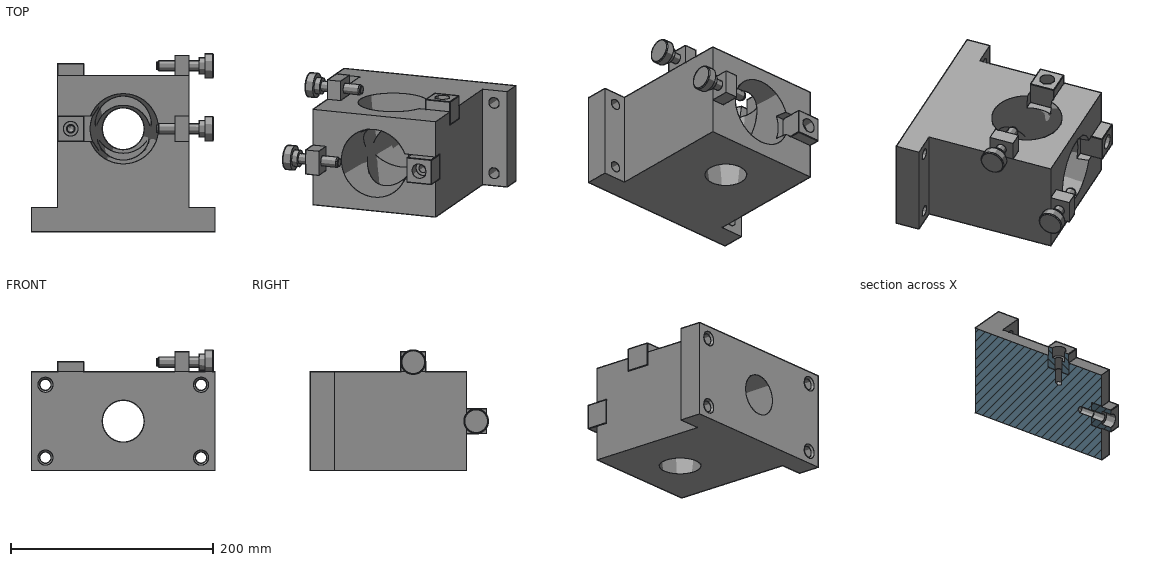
import cadquery as cq

flange_length = 182.0
flange_thickness = 24.4
housing_height = 98.0
body_width = 130.1
front_distance = 102.1
back_distance = 52.8
housing_depth = front_distance + back_distance
half_height = housing_height / 2

bore_wide_radius = 34.8
bore_narrow_radius = 20.5
bore_taper_length = housing_height

mount_hole_radius = 5.5
mount_sink_radius = 7.5
mount_sink_depth = 2.0
mount_spacing_x = 154.0
mount_spacing_z = 72.0

block_length = 26.2
block_width = 25.5
block_height = 23.8
block_chamfer = 0.5
block_center_x = (block_length - body_width) / 2
top_slot_depth = 13.6
back_slot_depth = 12.0
block_bore_radius = 7.3
block_bore_depth = 11.0
block_hole_radius = 4.2
tapped_hole_radius = 3.5
tapped_hole_depth = 14.5
drill_point_height = 1.8

bracket_thickness = 14.0
bracket_width = 24.8
bracket_height = 19.8
screw_height = 9.5

screw_tip_x = 33.1
screw_tip_radius = 3.8
screw_tip_length = 1.1
screw_tip_taper = 1.1
screw_radius = 5.1
collar_radius = 8.2
collar_length = 5.6
head_radius = 12.2
head_length = 8.5
head_chamfer = 1.0
screw_end_x = 89.2

top_face = cq.Plane(origin=(0, 0, half_height), xDir=(1, 0, 0), normal=(0, 0, 1))
back_face = cq.Plane(origin=(0, back_distance, 0), xDir=(1, 0, 0), normal=(0, 1, 0))
stations = [(top_face, top_slot_depth), (back_face, back_slot_depth)]


def make_bore(face, length):
    """Tapered bore from a face inward, carried on straight to the given length."""
    taper_outline = [
        (0, 0),
        (bore_wide_radius, 0),
        (bore_narrow_radius, -bore_taper_length),
        (0, -bore_taper_length),
    ]
    taper = cq.Workplane("XZ").polyline(taper_outline).close().revolve(360, (0, 0), (0, 1))
    straight = cq.Workplane("XY").circle(bore_narrow_radius).extrude(-length)
    return taper.union(straight).val().moved(face.location)


def make_slot(face, depth):
    """Slot as wide as a stop block, from the -X side into the bore."""
    length = body_width / 2
    slot = cq.Workplane("XY").box(length, block_width, depth, centered=(False, True, False))
    return slot.translate((-length, 0, -depth)).val().moved(face.location)


def make_tapped_hole(face, depth):
    """Blind hole with a drill point under a stop block."""
    outline = [
        (0, 0),
        (tapped_hole_radius, 0),
        (tapped_hole_radius, -tapped_hole_depth),
        (0, -tapped_hole_depth - drill_point_height),
    ]
    hole = cq.Workplane("XZ").polyline(outline).close().revolve(360, (0, 0), (0, 1))
    return hole.translate((block_center_x, 0, -depth)).val().moved(face.location)


def make_mount_hole_cutter():
    """Countersunk through hole along +Y, starting at the flange face."""
    outline = [
        (0, 0),
        (mount_sink_radius, 0),
        (mount_hole_radius, mount_sink_depth),
        (mount_hole_radius, flange_thickness),
        (0, flange_thickness),
    ]
    return cq.Workplane("XY").polyline(outline).close().revolve(360, (0, 0), (0, 1))


def make_housing():
    flange = cq.Workplane("XY").box(
        flange_length, flange_thickness, housing_height, centered=(True, False, True)
    )
    body = cq.Workplane("XY").box(
        body_width, housing_depth, housing_height, centered=(True, False, True)
    )
    housing = flange.union(body).translate((0, -front_distance, 0))
    housing = housing.cut(cq.Workplane(make_bore(top_face, housing_height)))
    housing = housing.cut(cq.Workplane(make_bore(back_face, housing_depth)))
    for face, depth in stations:
        housing = housing.cut(cq.Workplane(make_slot(face, depth)))
        housing = housing.cut(cq.Workplane(make_tapped_hole(face, depth)))
    mount_hole = make_mount_hole_cutter()
    for x_side in (-1, 1):
        for z_side in (-1, 1):
            x = x_side * mount_spacing_x / 2
            z = z_side * mount_spacing_z / 2
            housing = housing.cut(mount_hole.translate((x, -front_distance, z)))
    return housing.val()


def make_stop_block(face, depth):
    """Square block standing on the slot floor, with a counterbored hole."""
    block = cq.Workplane("XY").box(
        block_length, block_width, block_height, centered=(True, True, False)
    )
    block = block.edges().chamfer(block_chamfer)
    block = block.faces(">Z").workplane().cboreHole(
        2 * block_hole_radius, 2 * block_bore_radius, block_bore_depth
    )
    return block.translate((block_center_x, 0, -depth)).val().moved(face.location)


def make_bracket(face):
    """Plain block on the face, drilled along X for the screw."""
    bracket = cq.Workplane("XY").box(
        bracket_thickness, bracket_width, bracket_height, centered=(False, True, False)
    )
    bracket = bracket.translate((body_width / 2 - bracket_thickness, 0, 0))
    hole = cq.Workplane("YZ").center(0, screw_height).circle(screw_radius).extrude(body_width)
    return bracket.cut(hole).val().moved(face.location)


def make_thumb_screw(face):
    """Screw turned about X: stepped tip, shank, collar and round head."""
    shank_start_x = screw_tip_x + screw_tip_length + screw_tip_taper
    head_start_x = screw_end_x - head_length
    collar_start_x = head_start_x - collar_length
    outline = [
        (screw_tip_x, 0),
        (screw_tip_x, screw_tip_radius),
        (screw_tip_x + screw_tip_length, screw_tip_radius),
        (shank_start_x, screw_radius),
        (collar_start_x, screw_radius),
        (collar_start_x, collar_radius),
        (head_start_x, collar_radius),
        (head_start_x, head_radius),
        (screw_end_x - head_chamfer, head_radius),
        (screw_end_x, head_radius - head_chamfer),
        (screw_end_x, 0),
    ]
    screw = cq.Workplane("XZ").polyline(outline).close().revolve(360, (0, 0), (1, 0))
    return screw.translate((0, 0, screw_height)).val().moved(face.location)


housing = make_housing()
stop_blocks = [make_stop_block(face, depth) for face, depth in stations]
brackets = [make_bracket(face) for face, _ in stations]
thumb_screws = [make_thumb_screw(face) for face, _ in stations]

result = cq.Compound.makeCompound([housing, *stop_blocks, *brackets, *thumb_screws])